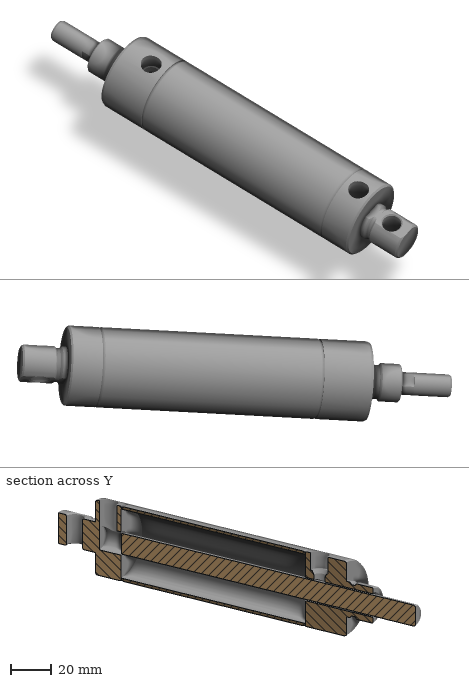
import cadquery as cq


total_length = 216.0
thread_end = 19.0
nose_face = 25.5
front_groove_center = 37.5
front_head_face = 41.7
front_port_x = 58.0
tube_start = 66.5
tube_end = 177.7
rear_port_x = 185.7
rear_head_face = 193.5
rear_groove_center = 197.5
cross_hole_x = 206.0

barrel_radius = 19.9
tube_wall = 1.7
end_chamfer_length = 1.3
end_chamfer_depth = 0.6
mount_radius = 9.5

rod_radius = 5.6
thread_step = 0.05
thread_radius = rod_radius + thread_step
rod_chamfer_length = 1.0
rod_chamfer_depth = 0.6
wrench_flat_offset = 4.7

rear_chamfer = 0.9
rod_clearance = 0.5
axial_bore_radius = rod_radius + rod_clearance
bore_chamfer = 0.6
nose_chamfer = 0.6
tang_chamfer = 0.9

groove_depth = 1.0
front_groove_floor = 2.0
rear_groove_floor = 1.5

port_radius = 5.2
port_cone_radius = 4.3
port_passage_radius = 3.2
port_cone_top = 10.8
port_cone_depth = 2.2

tang_flat_offset = 8.2
cross_hole_radius = 4.7
cross_hole_chamfer = 0.6


def revolve_about_x(points):
    """Solid of revolution from (x, radius) points; both ends lie on the axis."""
    return cq.Workplane("XY").polyline(points).close().revolve(360, (0, 0, 0), (1, 0, 0))


def cylinder_x(radius, x_start, x_end):
    return cq.Workplane("YZ", origin=(x_start, 0, 0)).circle(radius).extrude(x_end - x_start)


def cylinder_z(radius, x, z_start, z_end):
    return cq.Workplane("XY", origin=(x, 0, z_start)).circle(radius).extrude(z_end - z_start)


def cone_z(x, z_low, low_radius, z_high, high_radius):
    cone = cq.Solid.makeCone(low_radius, high_radius, z_high - z_low, pnt=cq.Vector(x, 0, z_low))
    return cq.Workplane(obj=cone)


def groove_points(center, floor_length):
    """Outline points of a 45 degree sided relief groove in a mounting thread."""
    floor_half = floor_length / 2
    mouth_half = floor_half + groove_depth
    floor_radius = mount_radius - groove_depth
    return [
        (center - mouth_half, mount_radius),
        (center - floor_half, floor_radius),
        (center + floor_half, floor_radius),
        (center + mouth_half, mount_radius),
    ]


def make_rod():
    rod = revolve_about_x([
        (0, 0),
        (0, thread_radius - rod_chamfer_depth),
        (rod_chamfer_length, thread_radius),
        (thread_end, thread_radius),
        (thread_end, rod_radius),
        (tube_end, rod_radius),
        (tube_end, 0),
    ])
    flat_length = nose_face - thread_end
    for side in (-1, 1):
        flat_cut = cq.Workplane("XY").box(flat_length, rod_radius, 2 * rod_radius).translate(
            (thread_end + flat_length / 2, side * (wrench_flat_offset + rod_radius / 2), 0))
        rod = rod.cut(flat_cut)
    return rod


def make_front_head():
    head = revolve_about_x([
        (nose_face, 0),
        (nose_face, mount_radius - nose_chamfer),
        (nose_face + nose_chamfer, mount_radius),
        *groove_points(front_groove_center, front_groove_floor),
        (front_head_face, mount_radius),
        (front_head_face, barrel_radius - end_chamfer_depth),
        (front_head_face + end_chamfer_length, barrel_radius),
        (tube_start, barrel_radius),
        (tube_start, 0),
    ])
    bore = revolve_about_x([
        (nose_face, 0),
        (nose_face, axial_bore_radius + bore_chamfer),
        (nose_face + bore_chamfer, axial_bore_radius),
        (tube_start, axial_bore_radius),
        (tube_start, 0),
    ])
    cone_bottom = port_cone_top - port_cone_depth
    port = cylinder_z(port_radius, front_port_x, port_cone_top, barrel_radius)
    cone = cone_z(front_port_x, cone_bottom, port_passage_radius, port_cone_top, port_cone_radius)
    passage = cylinder_z(port_passage_radius, front_port_x, 0, cone_bottom)
    return head.cut(bore).cut(port).cut(cone).cut(passage)


def make_tube():
    tube = revolve_about_x([
        (tube_start, 0),
        (tube_start, barrel_radius - end_chamfer_depth),
        (tube_start + end_chamfer_length, barrel_radius),
        (tube_end - end_chamfer_length, barrel_radius),
        (tube_end, barrel_radius - end_chamfer_depth),
        (tube_end, 0),
    ])
    return tube.cut(cylinder_x(barrel_radius - tube_wall, tube_start, tube_end))


def make_rear_head():
    head = revolve_about_x([
        (tube_end, 0),
        (tube_end, barrel_radius),
        (rear_head_face - rear_chamfer, barrel_radius),
        (rear_head_face, barrel_radius - rear_chamfer),
        (rear_head_face, mount_radius),
        *groove_points(rear_groove_center, rear_groove_floor),
        (total_length - tang_chamfer, mount_radius),
        (total_length, mount_radius - tang_chamfer),
        (total_length, 0),
    ])
    tang_length = total_length - rear_head_face
    for side in (-1, 1):
        flat_cut = cq.Workplane("XY").box(tang_length, 2 * mount_radius, mount_radius).translate(
            (rear_head_face + tang_length / 2, 0, side * (tang_flat_offset + mount_radius / 2)))
        head = head.cut(flat_cut)
    head = head.cut(cylinder_z(cross_hole_radius, cross_hole_x, -mount_radius, mount_radius))
    rim_radius = cross_hole_radius + cross_hole_chamfer
    chamfer_start = tang_flat_offset - cross_hole_chamfer
    head = head.cut(cone_z(cross_hole_x, chamfer_start, cross_hole_radius, tang_flat_offset, rim_radius))
    head = head.cut(cone_z(cross_hole_x, -tang_flat_offset, rim_radius, -chamfer_start, cross_hole_radius))
    head = head.cut(cylinder_x(axial_bore_radius, tube_end, rear_port_x + port_radius))
    return head.cut(cylinder_z(port_radius, rear_port_x, 0, barrel_radius))


rod = make_rod()
front_head = make_front_head()
tube = make_tube()
rear_head = make_rear_head()

result = cq.Compound.makeCompound([rod.val(), front_head.val(), tube.val(), rear_head.val()])